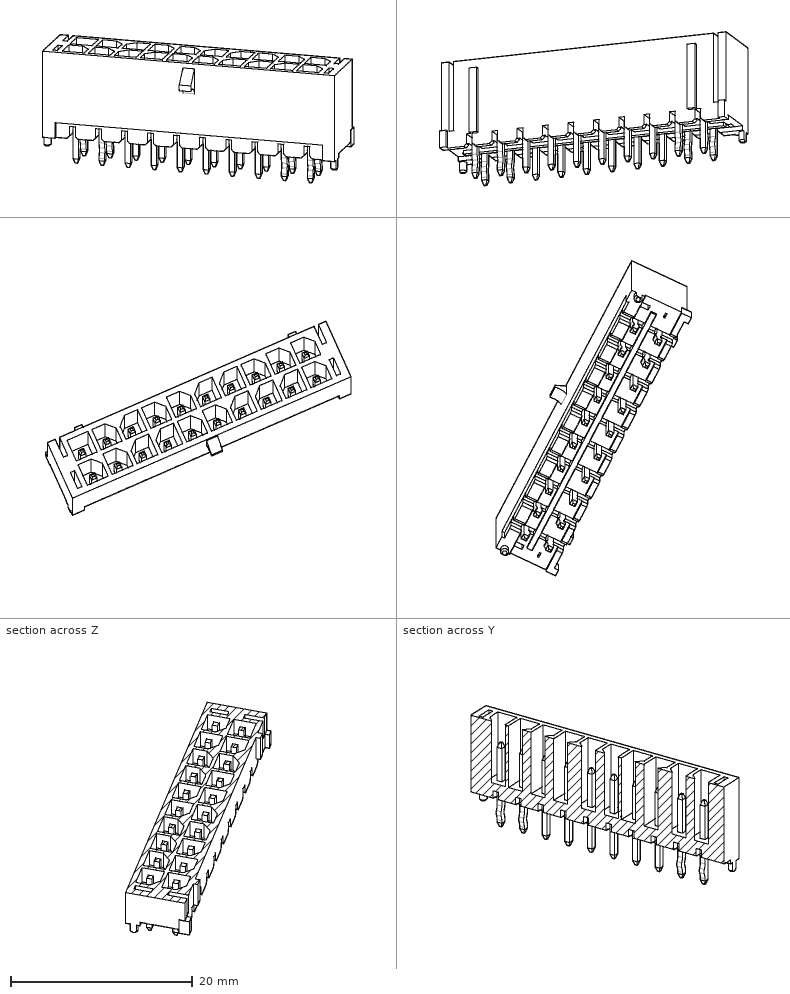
import cadquery as cq


PITCH = 3.0
COLUMNS = 10
ROW_Y = PITCH / 2
COLUMN_X = [(i - (COLUMNS - 1) / 2) * PITCH for i in range(COLUMNS)]

LEFT_X = -16.85
RIGHT_X = 16.8
BODY_DEPTH = 6.84
BODY_HEIGHT = 9.9
BACK_Y = BODY_DEPTH / 2
FRONT_Y = -BACK_Y

CAVITY_SIZE = 2.52
CAVITY_FLOOR_Z = 2.4
KEY_CUT = 0.93
BACK_ROW_KEYS = "NRLRRLLRRR"
FRONT_ROW_KEYS = "RRLLRRLLLR"

DECK_Z = 0.5
FRONT_FOOT_Y = -1.73
BACK_FOOT_Y = 2.72
RIB_WIDTH = 0.65
RIB_BOTTOM_Z = 0.1

RECESS_LENGTH = 30.78
RECESS_DEPTH = 0.34
RECESS_TOP_Z = 1.8
SLOT_WIDTH = 0.66
SLOT_TOP_Z = 1.4
SLOT_FLARE = 0.3

CLIP_X = 15.63
CLIP_WIDTH = 0.52
FRONT_CLIP_Y = (-2.65, -0.69)
BACK_CLIP_INNER_Y = 1.2
BACK_CLIP_VENT = 0.18

REAR_PROJECTION = 0.51
REAR_Y = BACK_Y + REAR_PROJECTION
TAB_WIDTH = 0.75
TAB_HEIGHT = 1.93
TAB_OVERHANG = 0.05
REAR_RIB_X = 12.9
REAR_RIB_WIDTH = 0.92
REAR_RIB_TOP_Z = 8.8

LATCH_WIDTH = 1.33
LATCH_REACH = 1.41
LATCH_TOP_Z = 9.33
LATCH_NOSE_TOP_Z = 7.76
LATCH_NOSE_BOTTOM_Z = 7.1
LATCH_CROWN_REACH = 0.95
LATCH_CROWN_Z = 7.22
LATCH_ROOT_Z = 6.46

POST_RADIUS = 0.44
POST_INSET = 0.28
POST_Y = -2.49
POST_LENGTH = 1.18
POST_CHAMFER = 0.2

PIN_SIZE = 0.64
PIN_TOP_Z = 7.0
PIN_BOTTOM_Z = -3.2
PIN_TAPER_LENGTH = 0.55
PIN_TIP_SIZE = 0.26
KINKED_COLUMNS = (1, 8, 9)
BULGED_COLUMN = 0
KINK_OFFSET = 0.2
KINK_TOP_Z = -0.55
KINK_BEND = 0.63
KINK_CROWN = 0.55


def box(x0, x1, y0, y1, z0, z1):
    return cq.Workplane("XY").box(x1 - x0, y1 - y0, z1 - z0, centered=False).translate((x0, y0, z0))


def make_shell():
    shell = box(LEFT_X, RIGHT_X, FRONT_Y, BACK_Y, 0, BODY_HEIGHT)
    shell = shell.cut(box(LEFT_X, RIGHT_X, FRONT_FOOT_Y, BACK_FOOT_Y, 0, DECK_Z))
    half_recess = RECESS_LENGTH / 2
    return shell.cut(box(-half_recess, half_recess, FRONT_Y, FRONT_Y + RECESS_DEPTH, 0, RECESS_TOP_Z))


def make_cavity(x, y, key):
    cavity = cq.Workplane("XY").rect(CAVITY_SIZE, CAVITY_SIZE).extrude(BODY_HEIGHT - CAVITY_FLOOR_Z)
    if key == "R":
        cavity = cavity.edges("|Z and >X and >Y").chamfer(KEY_CUT)
    elif key == "L":
        cavity = cavity.edges("|Z and <X and >Y").chamfer(KEY_CUT)
    return cavity.translate((x, y, CAVITY_FLOOR_Z))


def make_pin_slot(x):
    half = SLOT_WIDTH / 2
    flared = half + SLOT_FLARE
    outline = [
        (-flared, 0), (-half, SLOT_FLARE), (-half, SLOT_TOP_Z),
        (half, SLOT_TOP_Z), (half, SLOT_FLARE), (flared, 0),
    ]
    slot = cq.Workplane("XZ").polyline(outline).close().extrude(BACK_Y, both=True)
    return slot.translate((x, 0, 0))


def cut_clip_slots(body):
    front_y0, front_y1 = FRONT_CLIP_Y
    vent_y = BACK_CLIP_INNER_Y + BACK_CLIP_VENT
    for centre in (-CLIP_X, CLIP_X):
        x0 = centre - CLIP_WIDTH / 2
        x1 = centre + CLIP_WIDTH / 2
        body = body.cut(box(x0, x1, front_y0, front_y1, DECK_Z, BODY_HEIGHT))
        body = body.cut(box(x0, x1, BACK_CLIP_INNER_Y, BACK_Y, TAB_HEIGHT, BODY_HEIGHT))
        body = body.cut(box(x0, x1, BACK_CLIP_INNER_Y, vent_y, DECK_Z, BODY_HEIGHT))
    return body


def add_rear_features(body):
    body = body.union(box(LEFT_X, LEFT_X + TAB_WIDTH, BACK_FOOT_Y, REAR_Y, 0, TAB_HEIGHT))
    body = body.union(box(RIGHT_X - TAB_WIDTH, RIGHT_X + TAB_OVERHANG, BACK_FOOT_Y, REAR_Y, 0, TAB_HEIGHT))
    for x in (-REAR_RIB_X, REAR_RIB_X):
        half = REAR_RIB_WIDTH / 2
        body = body.union(box(x - half, x + half, BACK_FOOT_Y, REAR_Y, SLOT_TOP_Z, REAR_RIB_TOP_Z))
    return body


def make_latch():
    nose_y = FRONT_Y - LATCH_REACH
    return (
        cq.Workplane("YZ")
        .moveTo(FRONT_Y, LATCH_TOP_Z)
        .lineTo(nose_y, LATCH_NOSE_TOP_Z)
        .lineTo(nose_y, LATCH_NOSE_BOTTOM_Z)
        .threePointArc((FRONT_Y - LATCH_CROWN_REACH, LATCH_CROWN_Z), (FRONT_Y, LATCH_ROOT_Z))
        .close()
        .extrude(LATCH_WIDTH / 2, both=True)
    )


def make_post(x):
    post = cq.Workplane("XY").circle(POST_RADIUS).extrude(-POST_LENGTH).faces("<Z").chamfer(POST_CHAMFER)
    post = post.translate((x, POST_Y, 0))
    return post.intersect(box(LEFT_X, RIGHT_X, FRONT_Y, BACK_Y, -POST_LENGTH, 0))


def make_kinked_profile(top_z, bottom_z):
    """Side outline of a pin whose solder tail bows towards +Y through three tangent arcs."""
    half = PIN_SIZE / 2
    bend = KINK_OFFSET * KINK_BEND / (KINK_BEND + KINK_CROWN / 2)
    crown_top_z = KINK_TOP_Z - KINK_BEND
    crown_bottom_z = crown_top_z - KINK_CROWN
    kink_bottom_z = crown_bottom_z - KINK_BEND
    return (
        cq.Workplane("YZ")
        .moveTo(-half, top_z)
        .lineTo(-half, KINK_TOP_Z)
        .tangentArcPoint((bend - half, crown_top_z), relative=False)
        .tangentArcPoint((bend - half, crown_bottom_z), relative=False)
        .tangentArcPoint((-half, kink_bottom_z), relative=False)
        .lineTo(-half, bottom_z)
        .lineTo(half, bottom_z)
        .lineTo(half, kink_bottom_z)
        .tangentArcPoint((bend + half, crown_bottom_z), relative=False)
        .tangentArcPoint((bend + half, crown_top_z), relative=False)
        .tangentArcPoint((half, KINK_TOP_Z), relative=False)
        .lineTo(half, top_z)
        .close()
    )


def make_pin(column):
    """Kinked pins bow sideways; a bulged pin keeps its straight shank and gains the bow as well."""
    half = PIN_SIZE / 2
    shank_top_z = PIN_TOP_Z - PIN_TAPER_LENGTH
    shank_bottom_z = PIN_BOTTOM_Z + PIN_TAPER_LENGTH
    straight = box(-half, half, -half, half, shank_bottom_z, shank_top_z)
    kinked = make_kinked_profile(shank_top_z, shank_bottom_z).extrude(half, both=True)
    if column in KINKED_COLUMNS:
        pin = kinked
    elif column == BULGED_COLUMN:
        pin = straight.union(kinked)
    else:
        pin = straight
    for start_z, end_z in ((shank_top_z, PIN_TOP_Z), (shank_bottom_z, PIN_BOTTOM_Z)):
        tip = cq.Workplane("XY").workplane(offset=start_z).rect(PIN_SIZE, PIN_SIZE)
        tip = tip.workplane(offset=end_z - start_z).rect(PIN_TIP_SIZE, PIN_TIP_SIZE).loft()
        pin = pin.union(tip)
    return pin


def make_housing():
    body = add_rear_features(make_shell())
    for x, back_key, front_key in zip(COLUMN_X, BACK_ROW_KEYS, FRONT_ROW_KEYS):
        body = body.cut(make_cavity(x, ROW_Y, back_key))
        body = body.cut(make_cavity(x, -ROW_Y, front_key))
        body = body.cut(make_pin_slot(x))
    body = cut_clip_slots(body)
    half_rib = RECESS_LENGTH / 2
    body = body.union(box(-half_rib, half_rib, -RIB_WIDTH / 2, RIB_WIDTH / 2, RIB_BOTTOM_Z, SLOT_TOP_Z))
    body = body.union(make_latch())
    for x in (LEFT_X + POST_INSET, RIGHT_X - POST_INSET):
        body = body.union(make_post(x))
    return body


def add_pins(body):
    """Front row pins bow towards +Y and back row pins, turned half a turn, towards -Y."""
    for column, x in enumerate(COLUMN_X):
        pin = make_pin(column)
        body = body.union(pin.translate((x, -ROW_Y, 0)))
        turned = pin.rotate((0, 0, 0), (0, 0, 1), 180)
        body = body.union(turned.translate((x, ROW_Y, 0)))
    return body


result = add_pins(make_housing())